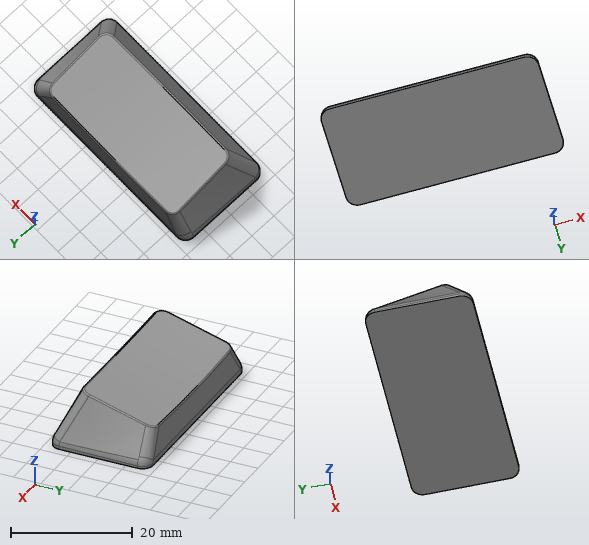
import cadquery as cq
import math

length = 37.2
depth = 18.15
skirt_height = 1.0

side_inset = 3.45
front_inset = 4.02
back_inset = 0.45
front_rim_height = 9.97
back_rim_height = 6.03

corner_radius = 1.95
rim_radius = 0.3

dish_sag = 0.45

overshoot = 1.15

tolerance = 0.05


def sloped_plane(rise_factor):
    """Plane across the walls: the skirt's top at 0, the rim at 1, beyond the rim above 1.

    Its local x is X and its local y runs from front to back. Also returns the walls'
    front-to-back length along it.
    """
    front_y = -depth / 2 + front_inset * rise_factor
    back_y = depth / 2 - back_inset * rise_factor
    front_z = skirt_height + (front_rim_height - skirt_height) * rise_factor
    back_z = skirt_height + (back_rim_height - skirt_height) * rise_factor
    middle = (0, (front_y + back_y) / 2, (front_z + back_z) / 2)
    normal = (0, front_z - back_z, back_y - front_y)
    plane = cq.Plane(origin=middle, xDir=(1, 0, 0), normal=normal)
    return plane, math.hypot(back_y - front_y, back_z - front_z)


def wall_outline(rise_factor):
    """Rectangular section of the walls at the given rise."""
    plane, slope_length = sloped_plane(rise_factor)
    width = length - 2 * side_inset * rise_factor
    return cq.Workplane(plane).rect(width, slope_length).val()


def make_sharp_body():
    """Skirt with straight walls that rise to the sloping rim and on past it."""
    skirt = cq.Workplane("XY").rect(length, depth).extrude(skirt_height)
    walls = cq.Solid.makeLoft([wall_outline(0), wall_outline(overshoot)], True)
    return skirt.union(cq.Workplane(walls))


def round_corners(body):
    """Round the upright corners together with the bend where the walls leave the skirt."""

    def is_rounded(edge):
        box = edge.BoundingBox()
        is_upright = box.zlen > tolerance and box.zmin < skirt_height + tolerance
        is_bend = abs(box.zmin - skirt_height) < tolerance
        return is_upright or is_bend

    return body.edges().filter(is_rounded).fillet(corner_radius)


def make_dish_cutter():
    """Long cylinder along the slope that passes through both side edges of the rim."""
    rim_plane, _ = sloped_plane(1)
    half_chord = length / 2 - side_inset
    dish_radius = (half_chord**2 + dish_sag**2) / (2 * dish_sag)
    axis_height = dish_radius - dish_sag

    profile_plane = cq.Plane(origin=rim_plane.origin, xDir=(1, 0, 0), normal=rim_plane.yDir)
    profile = cq.Workplane(profile_plane).center(0, -axis_height).circle(dish_radius)
    return profile.extrude(depth, both=True)


dished_body = round_corners(make_sharp_body()).cut(make_dish_cutter())
result = dished_body.faces(">Z").edges().fillet(rim_radius)